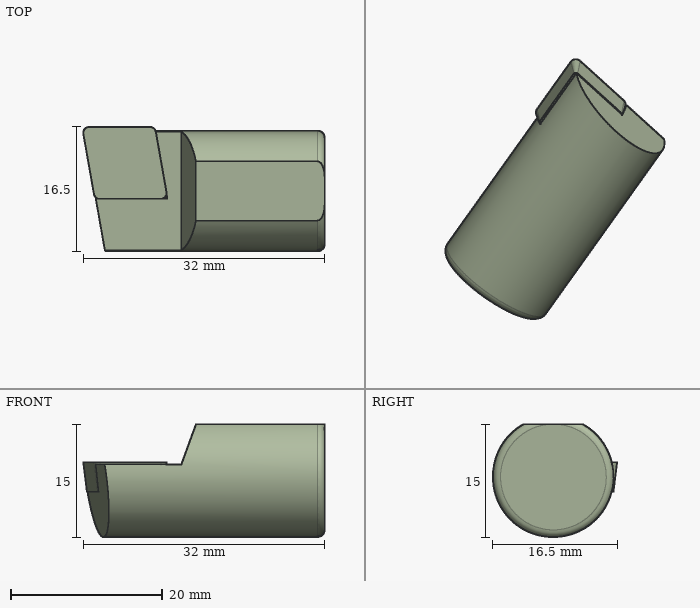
import cadquery as cq
import math

total_length = 32.0
shank_radius = 8.0
flat_z = 6.98
rear_fillet = 1.0

insert_width = 9.55
insert_thickness = 3.97
insert_top_z = 1.95
insert_outer_y = 8.48
insert_nose_radius = 0.8
insert_lean = 10.0
relief_angle = 7.0

ledge_z = 1.63
ledge_back_x = -19.0
step_wall_angle = 20.0
end_setback = 0.1

lean_slope = math.tan(math.radians(insert_lean))
end_relief_slope = math.tan(math.radians(relief_angle)) / math.cos(math.radians(insert_lean))

acute_corner_angle = math.radians(90 - insert_lean)
nose_overhang = insert_nose_radius * (1 / math.tan(acute_corner_angle / 2) - 1)
corner_x = -total_length - nose_overhang
side_length = insert_width / math.cos(math.radians(insert_lean))
insert_inner_y = insert_outer_y - insert_width
lean_shift = insert_width * lean_slope

rhombus = [
    (corner_x, insert_outer_y),
    (corner_x + side_length, insert_outer_y),
    (corner_x + side_length + lean_shift, insert_inner_y),
    (corner_x + lean_shift, insert_inner_y),
]


def tapered_rhombus(nose_radius=0):
    """Rhombic block narrowing downward, with its corners rounded if a radius is given."""
    outline = cq.Sketch().polygon(rhombus + rhombus[:1])
    if nose_radius > 0:
        outline = outline.vertices().fillet(nose_radius)
    return (
        cq.Workplane("XY", origin=(0, 0, insert_top_z))
        .placeSketch(outline)
        .extrude(-insert_thickness, taper=relief_angle)
    )


def end_face_x(y, z):
    """X of the holder's slanted end face, parallel to the insert's end side."""
    lean_offset = (insert_outer_y - y) * lean_slope
    relief_offset = (insert_top_z - z) * end_relief_slope
    return corner_x + end_setback + lean_offset + relief_offset


def end_section(z, reach):
    """Plan outline at height z of everything behind the slanted end face."""
    return cq.Wire.makePolygon(
        [
            cq.Vector(end_face_x(reach, z), reach, z),
            cq.Vector(end_face_x(-reach, z), -reach, z),
            cq.Vector(reach, -reach, z),
            cq.Vector(reach, reach, z),
        ],
        close=True,
    )


def make_shank():
    """Round bar with a rounded rear edge, a top flat and a slanted front end."""
    bar = cq.Workplane("YZ").circle(shank_radius).extrude(-total_length)
    bar = bar.faces(">X").edges().fillet(rear_fillet)
    reach = 2 * shank_radius
    above_flat = (
        cq.Workplane("XY", origin=(-total_length / 2, 0, flat_z))
        .rect(2 * total_length, 2 * reach)
        .extrude(reach)
    )
    behind_end = cq.Solid.makeLoft([end_section(-reach, reach), end_section(reach, reach)], True)
    return bar.cut(above_flat).intersect(cq.Workplane(behind_end))


def make_step_cutter():
    """Material removed above the ledge, ending at a sloped wall."""
    top_z = shank_radius
    wall_run = (top_z - ledge_z) * math.tan(math.radians(step_wall_angle))
    front_x = -2 * total_length
    return (
        cq.Workplane("XZ")
        .moveTo(front_x, ledge_z)
        .lineTo(ledge_back_x, ledge_z)
        .lineTo(ledge_back_x + wall_run, top_z)
        .lineTo(front_x, top_z)
        .close()
        .extrude(2 * shank_radius, both=True)
    )


pocket = tapered_rhombus()
holder = make_shank().cut(make_step_cutter()).cut(pocket)

insert = tapered_rhombus(insert_nose_radius)

result = cq.Compound.makeCompound([holder.val(), insert.val()])